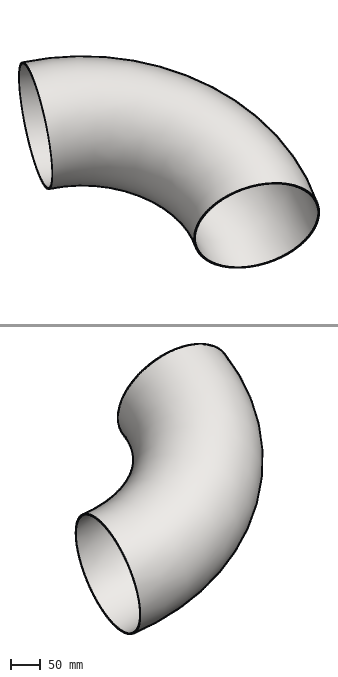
import cadquery as cq

overall_length = 414.5
outer_diameter = 219.5
wall = 2.0
bend_angle = 90.0

outer_radius = outer_diameter / 2
inner_radius = outer_radius - wall
bend_radius = overall_length - outer_radius

ring_section = (
    cq.Workplane("XZ")
    .center(-bend_radius, 0)
    .circle(outer_radius)
    .circle(inner_radius)
)

axis_start = (bend_radius, 0)
axis_end = (bend_radius, -1)

result = ring_section.revolve(bend_angle, axis_start, axis_end)